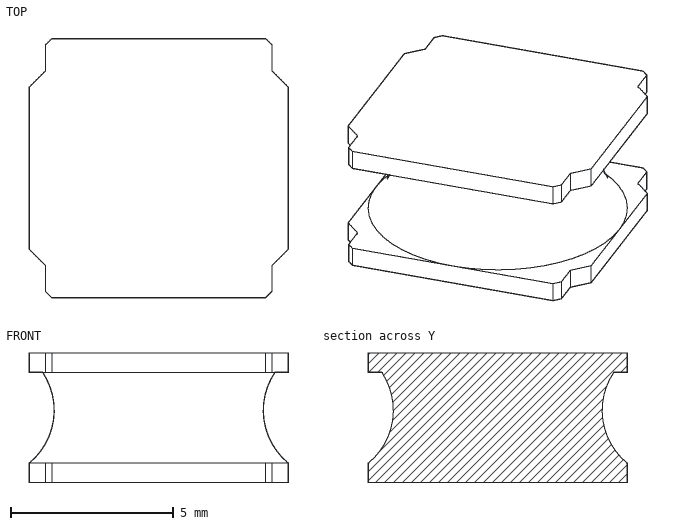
import cadquery as cq

WIDTH = 8.0
HALF_WIDTH = WIDTH / 2
HEIGHT = 4.0
FLANGE_THICKNESS = 0.6
UPPER_FLANGE_Z = HEIGHT - FLANGE_THICKNESS

NOTCH_DEPTH = 0.5
NOTCH_START = 3.0
CORNER_CHAMFER = 0.2

CORE_BOTTOM_RADIUS = HALF_WIDTH
CORE_TOP_RADIUS = 3.59
CORE_WAIST_RADIUS = 3.23
CORE_WAIST_Z = 2.23


def make_flange(bottom_z):
    """Square plate whose four corners are stepped in along X."""
    tab_half_width = HALF_WIDTH - NOTCH_DEPTH
    quarter = [
        (HALF_WIDTH, NOTCH_START - NOTCH_DEPTH),
        (tab_half_width, NOTCH_START),
        (tab_half_width, HALF_WIDTH - CORNER_CHAMFER),
        (tab_half_width - CORNER_CHAMFER, HALF_WIDTH),
    ]
    right_to_left = quarter + [(-x, y) for x, y in reversed(quarter)]
    outline = right_to_left + [(-x, -y) for x, y in right_to_left]
    return (
        cq.Workplane("XY", origin=(0, 0, bottom_z))
        .polyline(outline)
        .close()
        .extrude(FLANGE_THICKNESS)
    )


def make_core():
    """Waisted round core with a circular-arc side, wider at the bottom."""
    return (
        cq.Workplane("XZ")
        .moveTo(0, FLANGE_THICKNESS)
        .lineTo(CORE_BOTTOM_RADIUS, FLANGE_THICKNESS)
        .threePointArc(
            (CORE_WAIST_RADIUS, CORE_WAIST_Z),
            (CORE_TOP_RADIUS, UPPER_FLANGE_Z),
        )
        .lineTo(0, UPPER_FLANGE_Z)
        .close()
        .revolve(360, (0, 0), (0, 1))
    )


lower_flange = make_flange(0)
upper_flange = make_flange(UPPER_FLANGE_Z)
result = lower_flange.union(make_core()).union(upper_flange)